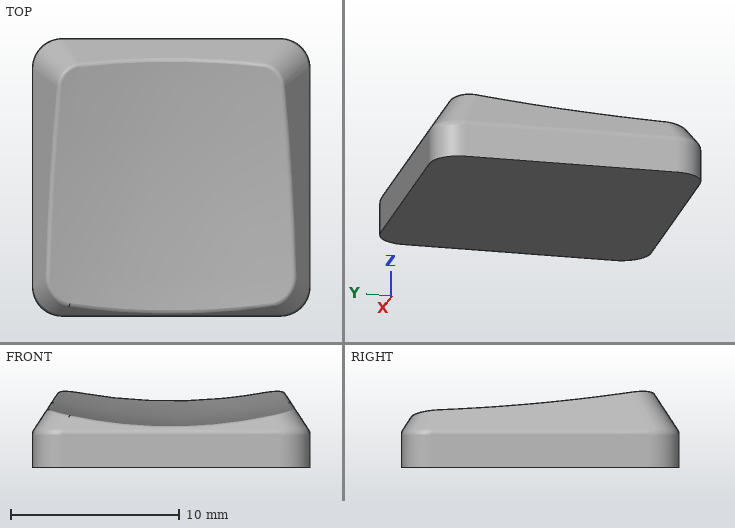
import cadquery as cq
import math

side = 16.5
corner_radius = 1.78
wall_height = 2.13

crown_height = 3.3
crown_inset = 2.16
crown_corner_radius = 1.09
shoulder_radius = 0.5

dish_center_z = 2.94
dish_center_y = -0.5
dish_tilt = 5.9
cross_radius = 28.55
length_radius = 99.0
dish_half_width = 11.55
dish_sweep = 20.0
rim_radius = 0.25

selection_margin = 0.02


def rounded_square(size, radius):
    return cq.Sketch().rect(size, size).vertices().fillet(radius)


def make_body():
    """Square base with a tapered crown and a softened shoulder between them."""
    base = cq.Workplane("XY").placeSketch(rounded_square(side, corner_radius)).extrude(wall_height)
    crown = (
        cq.Workplane("XY", origin=(0, 0, wall_height))
        .placeSketch(
            rounded_square(side, corner_radius),
            rounded_square(side - 2 * crown_inset, crown_corner_radius).moved(
                cq.Location(cq.Vector(0, 0, crown_height))
            ),
        )
        .loft()
    )
    shoulder = cq.selectors.BoxSelector(
        (-side, -side, wall_height - selection_margin), (side, side, wall_height + selection_margin)
    )
    return base.union(crown).edges(shoulder).fillet(shoulder_radius)


def make_dish_cutter():
    """Trough-shaped cutter, curved both ways and tilted about the dish center."""
    edge_rise = cross_radius - math.sqrt(cross_radius**2 - dish_half_width**2)
    cutter = (
        cq.Workplane("XZ")
        .moveTo(-dish_half_width, edge_rise)
        .threePointArc((0, 0), (dish_half_width, edge_rise))
        .lineTo(dish_half_width, 2 * edge_rise)
        .lineTo(-dish_half_width, 2 * edge_rise)
        .close()
        .revolve(dish_sweep, (0, length_radius), (1, length_radius))
    )
    axis_start = (0, 0, length_radius)
    axis_end = (1, 0, length_radius)
    return (
        cutter.rotate(axis_start, axis_end, -dish_sweep / 2)
        .rotate((0, 0, 0), (1, 0, 0), dish_tilt)
        .translate((0, dish_center_y, dish_center_z))
    )


dished = make_body().cut(make_dish_cutter())

dish_face = dished.faces(cq.selectors.NearestToPointSelector((0, dish_center_y, dish_center_z)))
result = dish_face.edges().fillet(rim_radius)